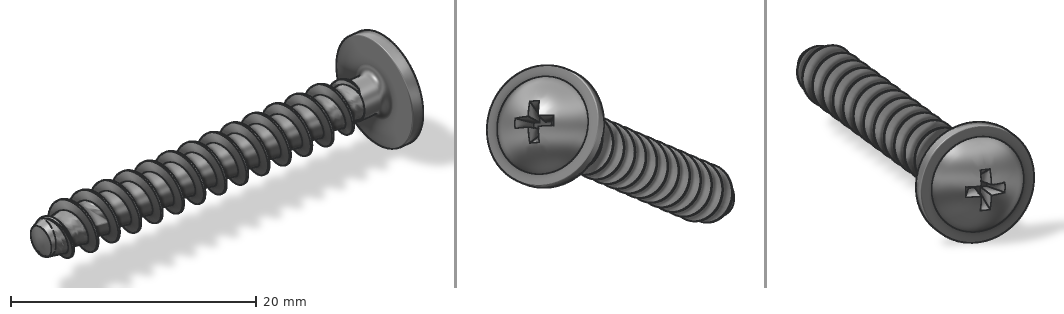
import cadquery as cq
import math


flange_radius = 5.0
flange_thickness = 1.18
flange_edge_fillet = 0.1
dome_radius_at_flange = 4.05
dome_height = 1.97

recess_depth = 2.0
recess_length = 3.8
recess_width = 0.9
recess_floor_length = 1.6
recess_floor_width = 0.5

screw_length = 35.0
shank_radius = 1.7
shank_length = 2.37
underhead_fillet = 0.7
tip_radius = 1.36
tip_bevel_slope = 0.45
tip_cone_height = 0.1
tip_face_depth = screw_length - tip_cone_height

pitch = 2.24
thread_radius = 2.5
crest_width = 0.2
flank_angle = 15.0
crest_depth_at_plus_z = 2.45

root_radius_wide = 1.73
root_radius_narrow = 1.39
root_length = 2.0
core_radius = 1.3
ribbon_inner_radius = 1.25
root_start = 0.1

limit_clearance = 1.0

runout_start = (1.9, 1.95)
full_start = (4.7, thread_radius)
full_end = (31.8, thread_radius)
runout_end = (34.4, 1.72)
full_thread_stretches = 3

points_per_turn = 12


def revolve_about_y(outline):
    return outline.close().revolve(360, (0, 0, 0), (0, 1, 0))


def make_head():
    top = flange_thickness + dome_height
    sphere_radius = (dome_radius_at_flange**2 + dome_height**2) / (2 * dome_height)
    half_angle = math.asin(dome_radius_at_flange / sphere_radius) / 2
    dome_middle = (
        sphere_radius * math.sin(half_angle),
        top - sphere_radius * (1 - math.cos(half_angle)),
    )
    flange = (
        cq.Workplane("XZ")
        .circle(flange_radius)
        .extrude(-flange_thickness)
        .edges()
        .fillet(flange_edge_fillet)
    )
    dome = revolve_about_y(
        cq.Workplane("ZY")
        .lineTo(dome_radius_at_flange, 0)
        .lineTo(dome_radius_at_flange, flange_thickness)
        .threePointArc(dome_middle, (0, top))
    )
    return flange.union(dome)


def make_recess():
    """Two crossed wings that narrow towards the recess floor."""
    top = flange_thickness + dome_height
    wing = (
        cq.Workplane("XZ", origin=(0, top, 0))
        .rect(recess_length, recess_width)
        .workplane(offset=recess_depth)
        .rect(recess_floor_length, recess_floor_width)
        .loft(ruled=True)
    )
    return wing.union(wing.rotate((0, 0, 0), (0, 1, 0), 90))


def make_shank_and_core():
    fillet_inset = underhead_fillet * (1 - math.sqrt(0.5))
    return revolve_about_y(
        cq.Workplane("ZY")
        .lineTo(shank_radius + underhead_fillet, 0)
        .threePointArc(
            (shank_radius + fillet_inset, -fillet_inset),
            (shank_radius, -underhead_fillet),
        )
        .lineTo(shank_radius, -shank_length)
        .lineTo(core_radius, -shank_length)
        .lineTo(core_radius, -tip_face_depth)
        .lineTo(0, -tip_face_depth)
    )


def make_tip():
    """Shallow cone that closes the end of the screw."""
    return revolve_about_y(
        cq.Workplane("ZY")
        .moveTo(0, -tip_face_depth)
        .lineTo(tip_radius, -tip_face_depth)
        .lineTo(0, -screw_length)
    )


def crest_radius(depth):
    """Crest radius at a depth below the head, linear through the two run-outs."""
    if depth < full_start[0]:
        (d0, r0), (d1, r1) = runout_start, full_start
    elif depth > full_end[0]:
        (d0, r0), (d1, r1) = full_end, runout_end
    else:
        return thread_radius
    return r0 + (r1 - r0) * (depth - d0) / (d1 - d0)


def thread_section(depth):
    """Corners of the thread as (offset towards the tip, radius)."""
    crest = crest_radius(depth)
    inner = ribbon_inner_radius
    half_crest = crest_width / 2
    half_base = half_crest + (crest - inner) * math.tan(math.radians(flank_angle))
    return [(-half_base, inner), (-half_crest, crest), (half_crest, crest), (half_base, inner)]


def root_section(depth):
    """Corners of the tapered root, the same at every depth; both ends lie inside the thread."""
    inner = ribbon_inner_radius
    return [(0, inner), (0, root_radius_wide), (root_length, root_radius_narrow), (root_length, inner)]


def helical_rails(section, start, end):
    """Helical curves through the corners of a section between two depths."""
    count = math.ceil((end - start) / pitch * points_per_turn)
    rails = [[] for _ in section(start)]
    for i in range(count + 1):
        depth = start + (end - start) * i / count
        angle = 2 * math.pi * (crest_depth_at_plus_z - depth) / pitch
        for rail, (offset, radius) in zip(rails, section(depth)):
            rail.append(
                cq.Vector(radius * math.sin(angle), -depth - offset, radius * math.cos(angle))
            )
    return rails


def make_cap(corners):
    return cq.Face.makeFromWires(cq.Wire.makePolygon(corners, close=True))


def make_helical_solid(section, breaks):
    """Solid that carries a section along the helix, one stretch between each pair of breaks."""
    stretches = [helical_rails(section, a, b) for a, b in zip(breaks, breaks[1:])]
    faces = [
        make_cap([rail[0] for rail in stretches[0]]),
        make_cap([rail[-1] for rail in stretches[-1]]),
    ]
    for rails in stretches:
        edges = [cq.Edge.makeSpline(rail) for rail in rails]
        for edge, next_edge in zip(edges, edges[1:] + edges[:1]):
            faces.append(cq.Face.makeRuledSurface(edge, next_edge))
    solid = cq.Solid.makeSolid(cq.Shell.makeShell(faces))
    return cq.Workplane(obj=solid.fix())


def make_thread():
    stretch = (full_end[0] - full_start[0]) / full_thread_stretches
    full_breaks = [full_start[0] + stretch * i for i in range(full_thread_stretches + 1)]
    breaks = [runout_start[0], *full_breaks, runout_end[0]]
    return make_helical_solid(thread_section, breaks)


def make_root():
    return make_helical_solid(root_section, [root_start, screw_length])


def make_thread_limits():
    """Space the thread and root may fill: below the plain shank and inside the tip bevel."""
    limit_radius = thread_radius + limit_clearance
    bevel_start = tip_face_depth - (limit_radius - tip_radius) / tip_bevel_slope
    return revolve_about_y(
        cq.Workplane("ZY")
        .moveTo(0, -shank_length)
        .lineTo(limit_radius, -shank_length)
        .lineTo(limit_radius, -bevel_start)
        .lineTo(tip_radius, -tip_face_depth)
        .lineTo(0, -tip_face_depth)
    )


head = make_head().cut(make_recess())
core = make_shank_and_core().union(make_tip())
thread = make_thread().intersect(make_thread_limits())
root = make_root().intersect(make_thread_limits())
result = head.union(core).union(root).union(thread)